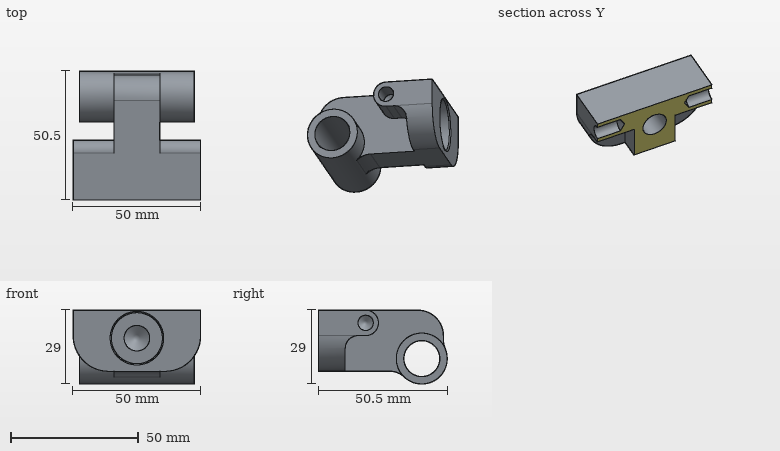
import cadquery as cq
import math


block_width = 50.0
block_height = 24.0
block_depth = 10.5
corner_radius = 14.0

bar_height = block_height - corner_radius
bar_radius = bar_height / 2
bar_axis_y = 18.5
bar_fillet = 5.0

arm_width = 18.0
arm_rear_y = 49.0
arm_top_radius = 10.0
tube_length = 45.0
tube_radius = 10.0
tube_bore_diameter = 14.0
tube_y = 40.5
tube_z = -19.0
blend_radius = 8.0

socket_z = -11.0
socket_diameter = 20.0
socket_depth = 10.0
socket_chamfer = 0.5
pilot_diameter = 10.0
pilot_depth = 10.0
pin_diameter = 6.0
pin_depth = 10.0
drill_point_angle = 118.0


def extrude_along_x(profile, length):
    """Extrude a YZ profile symmetrically about the middle plane."""
    return profile.extrude(length / 2, both=True)


def make_head():
    """Block and crossbar as one YZ section, trimmed to the front outline."""
    section = (
        cq.Workplane("YZ")
        .lineTo(bar_axis_y, 0)
        .threePointArc((bar_axis_y + bar_radius, -bar_radius), (bar_axis_y, -bar_height))
        .lineTo(block_depth + bar_fillet, -bar_height)
        .radiusArc((block_depth, -bar_height - bar_fillet), -bar_fillet)
        .lineTo(block_depth, -block_height)
        .lineTo(0, -block_height)
        .close()
    )
    outline = (
        cq.Workplane("XY")
        .box(block_width, bar_axis_y + bar_radius, block_height, centered=(True, False, False))
        .translate((0, 0, -block_height))
        .edges("|Y and <Z")
        .fillet(corner_radius)
    )
    return extrude_along_x(section, block_width).intersect(outline)


def make_arm():
    """Arm whose underside and rear face blend tangentially into the tube."""
    center_distance = tube_radius + blend_radius
    tangent_share = tube_radius / center_distance

    under_dz = -block_height - blend_radius - tube_z
    under_dy = -math.sqrt(center_distance**2 - under_dz**2)
    rear_dy = arm_rear_y + blend_radius - tube_y
    rear_dz = math.sqrt(center_distance**2 - rear_dy**2)

    under_tangent = (tube_y + under_dy * tangent_share, tube_z + under_dz * tangent_share)
    rear_tangent = (tube_y + rear_dy * tangent_share, tube_z + rear_dz * tangent_share)

    section = (
        cq.Workplane("YZ")
        .lineTo(0, -block_height)
        .lineTo(tube_y + under_dy, -block_height)
        .radiusArc(under_tangent, blend_radius)
        .lineTo(tube_y, tube_z)
        .lineTo(*rear_tangent)
        .radiusArc((arm_rear_y, tube_z + rear_dz), blend_radius)
        .lineTo(arm_rear_y, -arm_top_radius)
        .radiusArc((arm_rear_y - arm_top_radius, 0), -arm_top_radius)
        .close()
    )
    return extrude_along_x(section, arm_width)


def tube_cylinder(radius):
    """Full-length cylinder on the tube axis."""
    return extrude_along_x(cq.Workplane("YZ").center(tube_y, tube_z).circle(radius), tube_length)


def drill(diameter, depth, start, direction):
    """Blind hole with a conical drill point below its cylindrical depth."""
    radius = diameter / 2
    point_length = radius / math.tan(math.radians(drill_point_angle / 2))
    start = cq.Vector(*start)
    direction = cq.Vector(*direction)
    shaft = cq.Solid.makeCylinder(radius, depth, start, direction)
    point = cq.Solid.makeCone(radius, 0, point_length, start + direction * depth, direction)
    return cq.Workplane(shaft.fuse(point))


def make_socket():
    """Flat-bottomed socket in the front face with a chamfered mouth."""
    into_part = cq.Vector(0, 1, 0)
    mouth = cq.Vector(0, 0, socket_z)
    radius = socket_diameter / 2
    bore = cq.Solid.makeCylinder(radius, socket_depth, mouth, into_part)
    chamfer = cq.Solid.makeCone(radius + socket_chamfer, radius, socket_chamfer, mouth, into_part)
    return cq.Workplane(bore.fuse(chamfer))


result = make_head().union(make_arm()).union(tube_cylinder(tube_radius))
result = result.cut(tube_cylinder(tube_bore_diameter / 2))
result = result.cut(make_socket())
result = result.cut(drill(pilot_diameter, pilot_depth, (0, socket_depth, socket_z), (0, 1, 0)))
for side in (-1, 1):
    pin_start = (side * block_width / 2, bar_axis_y, -bar_radius)
    result = result.cut(drill(pin_diameter, pin_depth, pin_start, (-side, 0, 0)))